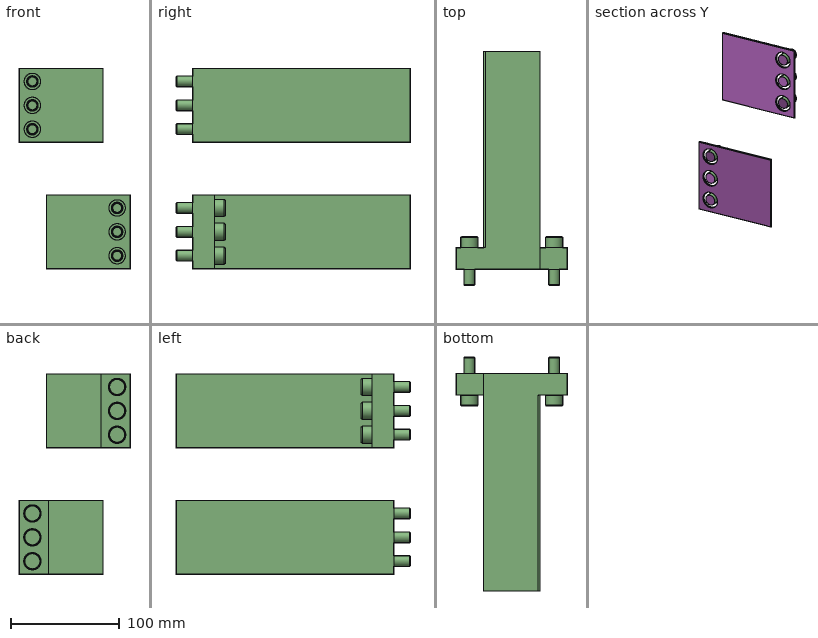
import cadquery as cq

overall_width = 102.0
overall_length = 215.0
overall_height = 184.0

block_width = 77.0
block_height = 68.0
arm_width = 50.0
flange_thickness = 20.0
corner_radius = 1.0

screw_count = 3
screw_pitch = 22.0
screw_edge_distance = 12.0
hole_diameter = 10.5
counterbore_diameter = 15.0
counterbore_depth = 3.0

shank_diameter = 10.0
shank_projection = 15.0
shank_chamfer = 0.92
head_diameter = 16.0
head_height = 10.0
head_chamfer = 1.0
seat_chamfer = 0.2

block_length = overall_length - shank_projection
flange_side_x = -overall_width / 2
arm_side_x = flange_side_x + block_width
arm_inner_x = arm_side_x - arm_width
block_top_z = overall_height / 2
block_middle_z = block_top_z - block_height / 2
screw_x = flange_side_x + screw_edge_distance
screw_heights = [
    block_middle_z + (index - (screw_count - 1) / 2) * screw_pitch for index in range(screw_count)
]


def cylinder_along_y(diameter, start_y, length, z):
    """Cylinder on a screw axis, running from start_y toward +Y."""
    axis_start = cq.Vector(screw_x, start_y, z)
    return cq.Workplane(cq.Solid.makeCylinder(diameter / 2, length, axis_start, cq.Vector(0, 1, 0)))


def make_block():
    """L-shaped block with a filleted inner corner and counterbored screw holes in its flange."""
    block = (
        cq.Workplane("XY", origin=(0, 0, block_top_z - block_height))
        .moveTo(flange_side_x, 0)
        .lineTo(arm_side_x, 0)
        .lineTo(arm_side_x, block_length)
        .lineTo(arm_inner_x, block_length)
        .lineTo(arm_inner_x, flange_thickness)
        .lineTo(flange_side_x, flange_thickness)
        .close()
        .extrude(block_height)
    )
    inner_corner = cq.selectors.NearestToPointSelector((arm_inner_x, flange_thickness, block_middle_z))
    block = block.edges("|Z").edges(inner_corner).fillet(corner_radius)
    for z in screw_heights:
        block = block.cut(cylinder_along_y(hole_diameter, 0, flange_thickness, z))
        block = block.cut(cylinder_along_y(counterbore_diameter, 0, counterbore_depth, z))
    return block


def make_screw(z):
    """Cap screw with its chamfered head seated on the back of the flange."""
    shank_length = shank_projection + flange_thickness
    shank = cylinder_along_y(shank_diameter, -shank_projection, shank_length, z)
    shank = shank.faces("<Y").chamfer(shank_chamfer)
    head = cylinder_along_y(head_diameter, flange_thickness, head_height, z)
    head = head.faces(">Y").edges().chamfer(head_chamfer)
    head = head.faces("<Y").edges().chamfer(seat_chamfer)
    return shank.union(head)


def half_turn(body):
    """The same body turned half a revolution about the Y axis."""
    return body.rotate((0, 0, 0), (0, 1, 0), 180)


upper_block = make_block()
lower_block = half_turn(upper_block)

upper_screws = [make_screw(z) for z in screw_heights]
lower_screws = [half_turn(screw) for screw in upper_screws]

result = cq.Compound.makeCompound(
    [body.val() for body in [upper_block, lower_block, *upper_screws, *lower_screws]]
)